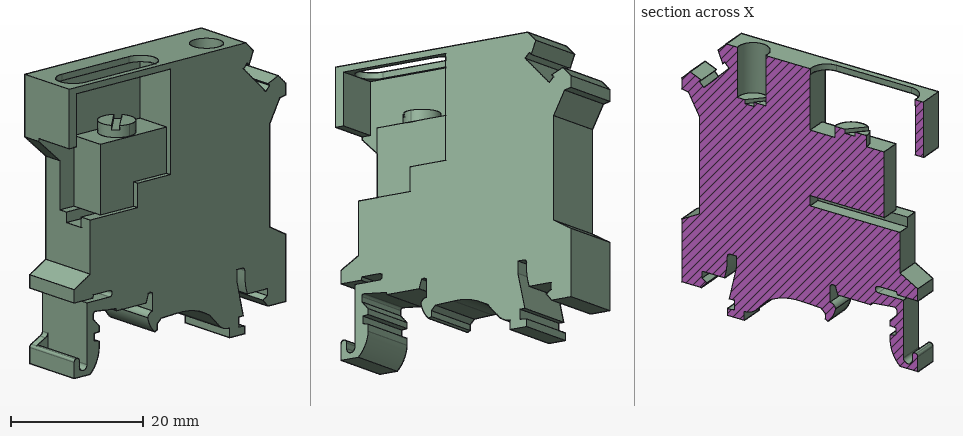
import cadquery as cq
import math

thickness = 10.15
depth = 43.55
height = 45.9

front_waist = 4.2
rear_waist = 3.2
head_bottom = 36.05
waist_top = 32.15
waist_bottom = 15.85
shoulder_top = 14.05
foot_front = 1.0
rear_foot_bottom = 3.4

label_chamfer = 8.05
label_mouth_half = 3.55
label_neck_half = 2.65
label_seat_half = 3.15
label_neck_depth = 2.05
label_depth = 3.15

latch_back = 6.05
latch_web = 3.6
latch_root = 11.45
latch_slot_top = 12.45
pry_web = 1.25
toe_top = 2.55
toe_slope = 28.7
pry_groove_width = 1.5
pry_groove_floor = 0.9
pry_groove_front = latch_web - pry_groove_width
toe_round = (pry_groove_front - foot_front) / 2

leg_front = 32.25
leg_rear = 35.35

chamber_left = 3.2
chamber_floor = 24.35
chamber_roof = 44.9
chamber_rear = 20.4
front_wall = 1.5
mouth_top = 36.5
side_step_level = 28.25
side_step_front = 13.75
notch_left = 4.75
notch_right = 8.1
notch_floor = 22.7
clamp_front = 7.05
clamp_right = 9.23
clamp_top = 35.53

screw_top = 37.4
screw_slot_depth = 0.7
clamp_screw_x = 6.1
clamp_screw_y = 13.15
clamp_screw_radius = 2.9
clamp_screw_slot = 1.25
rear_screw_x = 6.4
rear_screw_y = 30.95
rear_screw_radius = 2.55
rear_screw_slot = 1.1
access_width = 5.35


def box(x0, x1, y0, y1, z0, z1):
    """Axis-aligned block between two corners."""
    return cq.Workplane("XY").box(x1 - x0, y1 - y0, z1 - z0, centered=False).translate((x0, y0, z0))


def side_path(y, z):
    """Start a side outline in (Y, Z) at the -X face."""
    return cq.Workplane("YZ").moveTo(y, z)


def side_cut(points):
    """Prism through the whole thickness with a straight-sided (Y, Z) outline."""
    return cq.Workplane("YZ").polyline(points).close().extrude(thickness)


def front_waist_cut():
    return side_cut([
        (0, head_bottom),
        (front_waist, waist_top),
        (front_waist, waist_bottom),
        (foot_front, shoulder_top),
        (foot_front, 0),
        (0, 0),
    ])


def rear_waist_cut():
    return side_cut([
        (depth, head_bottom),
        (depth - 1.2, head_bottom - 0.25),
        (depth - rear_waist, waist_top),
        (depth - rear_waist, waist_bottom),
        (depth, shoulder_top),
    ])


def label_groove_cut():
    """Corner chamfer with an undercut groove symmetric about its own normal."""
    half_face = label_chamfer / math.sqrt(2)
    right_half = [
        (label_mouth_half, 0),
        (label_neck_half, -label_neck_depth),
        (label_seat_half, -label_neck_depth),
        (label_seat_half, -label_depth),
    ]
    left_half = [(-u, v) for u, v in reversed(right_half)]
    centre = (0, depth - label_chamfer / 2, height - label_chamfer / 2)
    corner_plane = cq.Plane(origin=centre, xDir=(0, 1, -1), normal=(1, 0, 0))
    groove = (
        cq.Workplane(corner_plane).polyline(right_half + left_half).close().extrude(thickness)
    )
    corner = cq.Workplane(corner_plane).polyline(
        [(-half_face, 0), (half_face, 0), (0, half_face)]
    ).close().extrude(thickness)
    return groove.union(corner)


def rear_hook_cut():
    """Space behind the contact leg: rail hook, seat and a slit that frees the leg."""
    return (
        side_path(depth, 0)
        .lineTo(depth, rear_foot_bottom)
        .lineTo(40.0, rear_foot_bottom)
        .lineTo(38.95, 4.55)
        .lineTo(39.85, 5.1)
        .lineTo(39.85, 6.2)
        .lineTo(35.8, 6.2)
        .threePointArc((35.4, 8.1), (35.3, 10.0))
        .threePointArc((35.15, 10.35), (34.85, 10.45))
        .lineTo(33.75, 10.45)
        .lineTo(33.75, 8.55)
        .lineTo(35.0, 2.9)
        .lineTo(34.1, 2.9)
        .lineTo(34.1, 1.35)
        .lineTo(leg_rear, 1.2)
        .lineTo(leg_rear, 0)
        .close().extrude(thickness)
    )


def rail_space_cut():
    """Space between the contact leg and the latch: saddle, centre hook and rail seat."""
    return (
        side_path(leg_front, 0)
        .lineTo(leg_front, 1.5)
        .threePointArc((31.15, 1.7), (30.25, 2.25))
        .lineTo(28.25, 4.4)
        .threePointArc((25.2, 5.75), (21.85, 6.05))
        .lineTo(18.5, 5.9)
        .lineTo(17.7, 5.2)
        .lineTo(17.7, 4.25)
        .lineTo(17.2, 4.05)
        .threePointArc((16.3, 5.2), (15.8, 6.55))
        .threePointArc((16.05, 7.05), (16.8, 7.45))
        .lineTo(16.8, 10.05)
        .threePointArc((16.65, 10.35), (16.4, 10.45))
        .lineTo(15.95, 10.37)
        .lineTo(15.45, 8.95)
        .lineTo(9.55, 8.95)
        .lineTo(9.35, 9.3)
        .lineTo(5.32, 9.75)
        .threePointArc((5.0, 9.65), (4.85, 9.35))
        .lineTo(4.85, 8.55)
        .lineTo(latch_back, 7.3)
        .lineTo(latch_back, 6.4)
        .lineTo(5.05, 6.3)
        .lineTo(5.05, 5.15)
        .lineTo(latch_back, 4.85)
        .lineTo(latch_back, 3.75)
        .threePointArc((5.45, 1.6), (4.2, 0))
        .close().extrude(thickness)
    )


def toe_round_point(angle):
    """Point (Y, Z) on the round at the top of the toe; 180 degrees is its front face."""
    turn = math.radians(angle)
    return (foot_front + toe_round * (1 + math.cos(turn)), toe_top + toe_round * math.sin(turn))


def latch_slot_cut():
    """Space in front of the latch stem and the slot that makes it springy."""
    slope_start = toe_round_point(90 + toe_slope)
    return (
        side_path(foot_front, toe_top)
        .threePointArc(toe_round_point(135 + toe_slope / 2), slope_start)
        .lineTo(3.08, 3.95)
        .threePointArc((3.45, 4.2), (latch_web, 4.6))
        .lineTo(latch_web, latch_root)
        .lineTo(8.12, latch_root)
        .threePointArc((8.65, 11.95), (8.12, latch_slot_top))
        .lineTo(4.9, latch_slot_top)
        .lineTo(4.75, 11.95)
        .lineTo(foot_front, 11.95)
        .close().extrude(thickness)
    )


def pry_groove_cut():
    """Round-bottomed groove behind a low lip with a rounded crest on the latch toe."""
    radius = pry_groove_width / 2
    profile = (
        side_path(foot_front, toe_top)
        .threePointArc(toe_round_point(90), toe_round_point(0))
        .lineTo(pry_groove_front, pry_groove_floor + radius)
        .threePointArc(
            (pry_groove_front + radius, pry_groove_floor),
            (latch_web, pry_groove_floor + radius),
        )
        .lineTo(latch_web, latch_root)
        .lineTo(foot_front, latch_root)
        .close()
    )
    return profile.extrude(thickness - pry_web).translate((pry_web, 0, 0))


def terminal_chamber_cut():
    """Chamber with its front mouth and a floor channel that runs on under the clamp."""
    chamber = box(chamber_left, thickness, front_wall, chamber_rear, chamber_floor, chamber_roof)
    mouth = box(chamber_left, thickness, 0, front_wall, chamber_floor, mouth_top)
    notch = box(notch_left, notch_right, 0, chamber_rear, notch_floor, chamber_floor)
    return chamber.union(mouth).union(notch)


def clamp():
    """Clamp block in the chamber with the ledge beside it."""
    block = box(chamber_left, clamp_right, clamp_front, chamber_rear, chamber_floor, clamp_top)
    ledge = box(clamp_right, thickness, side_step_front, chamber_rear, chamber_floor, side_step_level)
    return block.union(ledge)


def access_slot_cut():
    length = chamber_rear - front_wall
    return (
        cq.Workplane("XY", origin=(rear_screw_x, (chamber_rear + front_wall) / 2, chamber_roof))
        .slot2D(length, access_width, 90).extrude(height - chamber_roof)
    )


def driver_slot_cut(x, y, radius, width):
    """Diagonal screwdriver slot in a screw head, clipped to the head."""
    floor = (x, y, screw_top - screw_slot_depth)
    head = cq.Workplane("XY", origin=floor).circle(radius).extrude(screw_slot_depth)
    bar = (
        cq.Workplane("XY").box(3 * radius, width, screw_slot_depth, centered=(True, True, False))
        .rotate((0, 0, 0), (0, 0, 1), -45).translate(floor)
    )
    return head.intersect(bar)


def rear_screw_cut():
    """Access bore that ends on the slotted head of the rear screw."""
    bore = (
        cq.Workplane("XY", origin=(rear_screw_x, rear_screw_y, screw_top))
        .circle(rear_screw_radius).extrude(height - screw_top)
    )
    return bore.union(driver_slot_cut(rear_screw_x, rear_screw_y, rear_screw_radius, rear_screw_slot))


def clamp_screw():
    head = (
        cq.Workplane("XY", origin=(clamp_screw_x, clamp_screw_y, clamp_top))
        .circle(clamp_screw_radius).extrude(screw_top - clamp_top)
    )
    return head.cut(driver_slot_cut(clamp_screw_x, clamp_screw_y, clamp_screw_radius, clamp_screw_slot))


housing = box(0, thickness, 0, depth, 0, height)
for cutter in (
    front_waist_cut(),
    rear_waist_cut(),
    label_groove_cut(),
    rear_hook_cut(),
    rail_space_cut(),
    latch_slot_cut(),
    pry_groove_cut(),
    terminal_chamber_cut(),
    access_slot_cut(),
    rear_screw_cut(),
):
    housing = housing.cut(cutter)

result = housing.union(clamp()).union(clamp_screw())